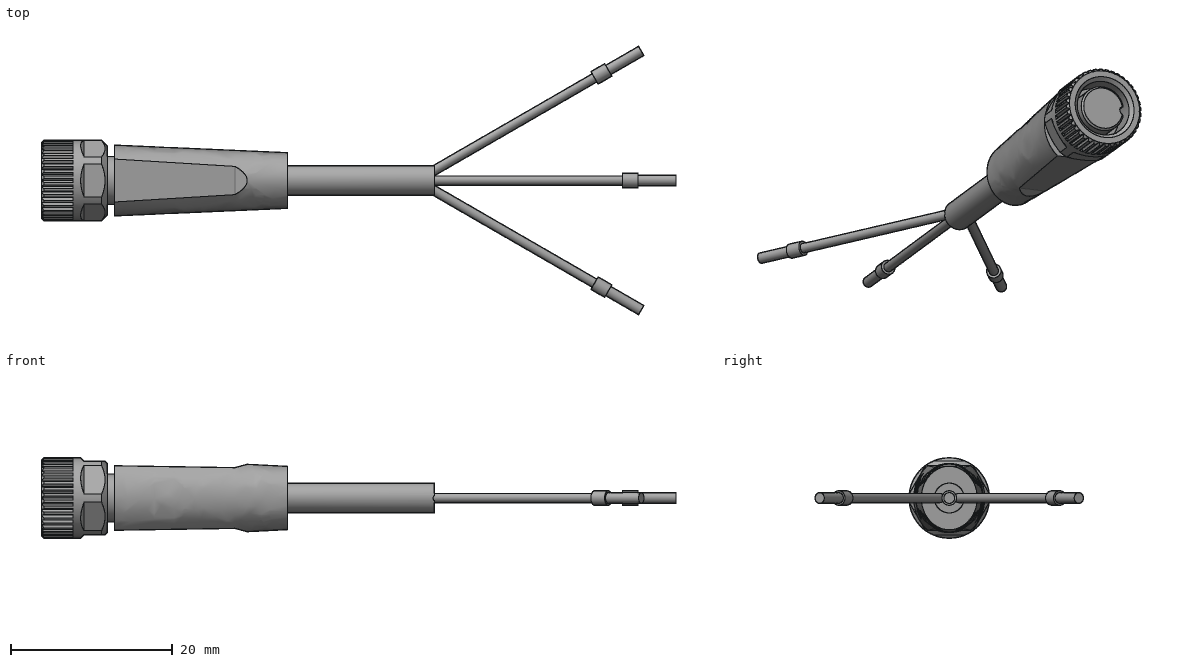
import cadquery as cq
import math

overall_length = 78.5
overall_width = 33.2

nut_diameter = 10.0
knurl_length = 3.9
knurl_count = 40
knurl_depth = 0.3
knurl_half_width = 0.2
nut_front_chamfer = 0.3
nut_length = 8.2
nut_rear_chamfer = 0.7
flat_count = 6
flat_start = 4.9
flat_apothem = 4.55
bore_diameter = 6.9
bore_depth = 3.9
bore_chamfer = 0.5

insert_diameter = 5.65
insert_recess = 0.5
insert_chamfer = 0.2
key_diameter = 1.2
key_depth = 2.35

neck_diameter = 6.0
grip_start = 9.0
grip_end = 30.45
grip_front_half_width = 4.4
grip_front_half_height = 5.0
grip_rear_half_width = 3.45
grip_rear_half_height = 3.9
panel_front_height = 4.0
panel_rear_height = 3.8
panel_end = 23.95
ramp_end = 25.7
ramp_end_height = 4.2

cable_diameter = 3.7
cable_end = 48.6
wire_diameter = 1.2
collar_diameter = 1.8
pin_diameter = 1.3
collar_length = 2.0
pin_length = 4.7
wire_angle = 30.0
side_wire_inset = 0.3

nut_radius = nut_diameter / 2
grip_length = grip_end - grip_start


def cylinder(start, end, diameter):
    """Cylinder on the connector axis between two X positions."""
    return cq.Workplane("YZ").workplane(offset=start).circle(diameter / 2).extrude(end - start)


def knurl_grooves():
    """V-shaped grooves spread evenly round the front of the nut.

    Each V is drawn at twice its size, so that it reaches well outside the nut.
    """
    groove = (
        cq.Workplane("YZ")
        .moveTo(nut_radius - knurl_depth, 0)
        .lineTo(nut_radius + knurl_depth, 2 * knurl_half_width)
        .lineTo(nut_radius + knurl_depth, -2 * knurl_half_width)
        .close()
        .extrude(knurl_length)
        .val()
    )
    step = 360 / knurl_count
    grooves = [
        groove.rotate(cq.Vector(0, 0, 0), cq.Vector(1, 0, 0), i * step)
        for i in range(knurl_count)
    ]
    return cq.Compound.makeCompound(grooves)


def wrench_flat_cutter():
    """Block above one wrench flat, with a 45 degree ramp at its front end."""
    rise = nut_radius
    ramp_foot = flat_start + nut_radius - flat_apothem
    return (
        cq.Workplane("XZ")
        .moveTo(ramp_foot, flat_apothem)
        .lineTo(nut_length, flat_apothem)
        .lineTo(nut_length, flat_apothem + rise)
        .lineTo(ramp_foot - rise, flat_apothem + rise)
        .close()
        .extrude(nut_radius, both=True)
    )


def coupling_nut():
    nut = cylinder(0, nut_length, nut_diameter)
    nut = nut.faces("<X").chamfer(nut_front_chamfer)
    nut = nut.faces(">X").chamfer(nut_rear_chamfer)
    nut = nut.cut(knurl_grooves())
    flat = wrench_flat_cutter()
    for i in range(flat_count):
        nut = nut.cut(flat.rotate((0, 0, 0), (1, 0, 0), i * 360 / flat_count))
    mouth_radius = bore_diameter / 2 + bore_chamfer
    bore = (
        cq.Workplane("XY")
        .lineTo(0, mouth_radius)
        .lineTo(bore_chamfer, bore_diameter / 2)
        .lineTo(bore_depth, bore_diameter / 2)
        .lineTo(bore_depth, 0)
        .close()
        .revolve(360, (0, 0, 0), (1, 0, 0))
    )
    return nut.cut(bore)


def contact_insert():
    """Insert standing in the bore, with a round keyway on its -Y side."""
    insert = cylinder(insert_recess, bore_depth, insert_diameter)
    insert = insert.faces("<X").chamfer(insert_chamfer)
    keyway = cylinder(insert_recess, insert_recess + key_depth, key_diameter)
    return insert.cut(keyway.translate((0, -insert_diameter / 2, 0)))


def grip():
    """Tapered elliptical body with a sloped panel above and below."""
    body = (
        cq.Workplane("YZ")
        .workplane(offset=grip_start)
        .ellipse(grip_front_half_width, grip_front_half_height)
        .workplane(offset=grip_length)
        .ellipse(grip_rear_half_width, grip_rear_half_height)
        .loft(ruled=True)
    )
    panel_cutter = (
        cq.Workplane("XZ")
        .moveTo(grip_start, panel_front_height)
        .lineTo(panel_end, panel_rear_height)
        .lineTo(ramp_end, ramp_end_height)
        .lineTo(ramp_end, grip_front_half_height)
        .lineTo(grip_start, grip_front_half_height)
        .close()
        .extrude(grip_front_half_width, both=True)
    )
    return body.cut(panel_cutter).cut(panel_cutter.mirror("XY"))


def wire(length):
    """Wire with a ferrule collar and a pin, running along X from the origin."""
    pin_start = length - pin_length
    collar_start = pin_start - collar_length
    return (
        cylinder(0, collar_start, wire_diameter)
        .union(cylinder(collar_start, pin_start, collar_diameter))
        .union(cylinder(pin_start, length, pin_diameter))
    )


def wires():
    """One straight wire and two mirrored wires that fan out in the XY plane."""
    length = overall_length - cable_end
    angle = math.radians(wire_angle)
    tip_half_width = pin_diameter / 2 * math.cos(angle)
    side_start_y = overall_width / 2 - tip_half_width - length * math.sin(angle)
    side = (
        wire(length)
        .rotate((0, 0, 0), (0, 0, 1), wire_angle)
        .translate((cable_end - side_wire_inset, side_start_y, 0))
    )
    middle = wire(length).translate((cable_end, 0, 0))
    return middle.union(side).union(side.mirror("XZ"))


result = (
    coupling_nut()
    .union(contact_insert())
    .union(cylinder(nut_length, grip_start, neck_diameter))
    .union(grip())
    .union(cylinder(grip_end, cable_end, cable_diameter))
    .union(wires())
)